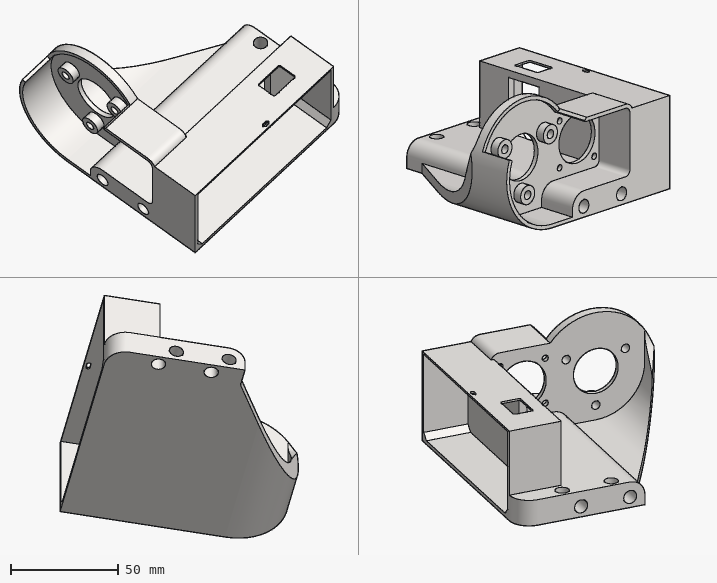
import cadquery as cq
import math

length_x = 108.8
depth_y = 108.0
drum_radius = 30.0
right_x = length_x - drum_radius
bottom_z = -drum_radius

wall = 2.0
plate_front_y = 17.5
plate_face_y = 20.1
plate_back_y = 22.5
tray_radius = drum_radius - wall
tray_right_x = 52.2
tray_half_height = 16.9
tray_corner_radius = 3.0
cover_top_z = tray_half_height + wall
rim_open_start = math.degrees(math.asin(cover_top_z / drum_radius))
rim_open_end = 160.0

foot_left_x = 13.8
foot_top_z = -tray_half_height
shoulder_radius = 7.8
foot_corner_radius = 10.0

cradle_radius = 25.0
gusset_fillet_radius = 15.0
gusset_fillet_top_z = 15.4
gusset_end_z = -6.5
gusset_angle = math.radians(30)

box_left_x = tray_right_x
box_depth = depth_y - foot_corner_radius
box_top_z = 16.0
box_side_wall = 3.9
box_roof = 1.0
box_floor_z = bottom_z + wall
box_chamfer = 3.0

side_window_y = (59.4, 79.3)
side_window_top_z = 12.3
roof_window_x = (59.1, 69.2)
roof_window_y = (66.9, 82.0)
roof_window_radius = 0.9
roof_slot_center = (76.5, 52.5)
roof_slot_length = 3.8
roof_slot_width = 1.8

drum_bore_diameter = 22.8
motor_bore_x = 37.4
motor_bore_diameter = 24.0
motor_screw_spacing = 23.1
motor_screw_diameter = 3.0
boss_circle_radius = 17.5
boss_angles = (30, 150, 270)
boss_diameter = 9.4
boss_hole_diameter = 4.2
boss_tip_y = 15.7

mount_hole_diameter = 6.6
mount_hole_spacing = 25.1
long_hole_x = 21.4
long_hole_z = -24.6
upright_hole_x = 28.9
upright_hole_y = 103.2


def block(x_range, y_range, z_range):
    """Box between the given limits."""
    sizes = [high - low for low, high in (x_range, y_range, z_range)]
    corner = (x_range[0], y_range[0], z_range[0])
    return cq.Workplane("XY").box(*sizes, centered=False).translate(corner)


def front_plane(y):
    """XZ sketch plane at the given Y; positive extrusion runs toward -Y."""
    return cq.Workplane("XZ", origin=(0, y, 0))


def cylinders_y(points, diameter, y_start, y_end):
    """Cylinders along Y at the given (x, z) points."""
    return front_plane(y_end).pushPoints(points).circle(diameter / 2).extrude(y_end - y_start)


def drum(radius, y_start, y_end):
    return cylinders_y([(0, 0)], 2 * radius, y_start, y_end)


def foot():
    """Solid foot block over the full depth, with one rounded shoulder and one rounded rear corner."""
    body = block((foot_left_x, right_x), (0, depth_y), (bottom_z, foot_top_z))
    body = body.edges("|Y and <X and >Z").fillet(shoulder_radius)
    return body.edges("|Z and >X and >Y").fillet(foot_corner_radius)


def front_body():
    """Drum, cover and lower skirt as far back as the motor plate, before hollowing."""
    depth = (0, plate_back_y)
    cover = block((0, tray_right_x + wall), depth, (0, cover_top_z))
    cover = cover.edges("|Y and >X and >Z").fillet(tray_corner_radius + wall)
    skirt = block((0, tray_right_x), depth, (bottom_z, 0))
    return drum(drum_radius, *depth).union(cover).union(skirt)


def front_tray():
    """Hollow in front of the motor plate, leaving the foot block standing."""
    depth = (0, plate_face_y)
    bay = block((0, tray_right_x), depth, (-tray_half_height, tray_half_height))
    bay = bay.edges("|Y and >X").fillet(tray_corner_radius)
    trough = block((0, foot_left_x + shoulder_radius), depth, (-tray_radius, 0))
    left_side = drum(tray_radius, *depth).union(trough).cut(foot())
    return left_side.union(bay)


def rim_opening():
    """Sector that removes the upper drum rim in front of the motor plate."""
    reach = 2 * drum_radius
    middle = (rim_open_start + rim_open_end) / 2
    corners = [
        (reach * math.cos(math.radians(angle)), reach * math.sin(math.radians(angle)))
        for angle in (rim_open_start, middle, rim_open_end)
    ]
    return front_plane(plate_front_y).polyline([(0, 0)] + corners).close().extrude(plate_front_y)


def gusset_clearance():
    """Space above the sloping, filleted top edge of the cradle wall."""
    run = gusset_fillet_radius * (1 - math.cos(gusset_angle))
    drop = gusset_fillet_radius * math.sin(gusset_angle)
    half_run = gusset_fillet_radius * (1 - math.cos(gusset_angle / 2))
    half_drop = gusset_fillet_radius * math.sin(gusset_angle / 2)
    slope_y = plate_back_y + run
    slope_z = gusset_fillet_top_z - drop
    end_y = slope_y + (slope_z - gusset_end_z) * math.tan(gusset_angle)
    return (
        cq.Workplane("YZ", origin=(-drum_radius, 0, 0))
        .moveTo(plate_back_y, drum_radius)
        .lineTo(plate_back_y, gusset_fillet_top_z)
        .threePointArc(
            (plate_back_y + half_run, gusset_fillet_top_z - half_drop), (slope_y, slope_z)
        )
        .lineTo(end_y, gusset_end_z)
        .lineTo(depth_y, gusset_end_z)
        .lineTo(depth_y, drum_radius)
        .close()
        .extrude(2 * drum_radius)
    )


def cradle():
    """Rear wall, straight inside above the drum axis, and floor; trimmed along the slanting plane."""
    depth = (plate_back_y, box_depth)
    floor = block((0, foot_left_x), depth, (bottom_z, -cradle_radius))
    straight_side = block((-cradle_radius, 0), depth, (0, drum_radius))
    shell = drum(drum_radius, *depth).cut(drum(cradle_radius, *depth)).cut(straight_side)
    shell = shell.intersect(block((-drum_radius, 0), depth, (-drum_radius, drum_radius)))
    outline = [
        (-drum_radius, plate_back_y),
        (foot_left_x, plate_back_y),
        (foot_left_x, box_depth),
    ]
    trimmed_plan = (
        cq.Workplane("XY", origin=(0, 0, bottom_z)).polyline(outline).close().extrude(2 * drum_radius)
    )
    return shell.union(floor).intersect(trimmed_plan).cut(gusset_clearance())


def box_body():
    return block((box_left_x, right_x), (0, box_depth), (bottom_z, box_top_z))


def box_cavity():
    """Box interior, open on the +X side, with chamfered lower corners."""
    cavity = block(
        (box_left_x + box_side_wall, right_x),
        (wall, box_depth - wall),
        (box_floor_z, box_top_z - box_roof),
    )
    return cavity.edges("|X and <Z").chamfer(box_chamfer)


def box_openings():
    """Side window, roof window and small roof slot."""
    side = block(
        (box_left_x, box_left_x + box_side_wall), side_window_y, (foot_top_z, side_window_top_z)
    )
    roof_z = (box_top_z - box_roof, box_top_z)
    window = block(roof_window_x, roof_window_y, roof_z).edges("|Z").fillet(roof_window_radius)
    slot = (
        cq.Workplane("XY", origin=(*roof_slot_center, roof_z[0]))
        .slot2D(roof_slot_length, roof_slot_width, 90)
        .extrude(box_roof)
    )
    return side.union(window).union(slot)


boss_points = [
    (
        boss_circle_radius * math.cos(math.radians(angle)),
        boss_circle_radius * math.sin(math.radians(angle)),
    )
    for angle in boss_angles
]
half_spacing = motor_screw_spacing / 2
motor_screw_points = [
    (motor_bore_x + side * half_spacing, level * half_spacing)
    for side in (-1, 1)
    for level in (-1, 1)
]


def plate_holes():
    """Bores and screw holes through the motor plate and its bosses."""
    span = (boss_tip_y, plate_back_y)
    holes = cylinders_y([(0, 0)], drum_bore_diameter, *span)
    holes = holes.union(cylinders_y([(motor_bore_x, 0)], motor_bore_diameter, *span))
    holes = holes.union(cylinders_y(motor_screw_points, motor_screw_diameter, *span))
    return holes.union(cylinders_y(boss_points, boss_hole_diameter, *span))


def mounting_holes():
    """Two long holes along Y and two upright holes at the rear of the foot."""
    long_points = [(long_hole_x + step * mount_hole_spacing, long_hole_z) for step in (0, 1)]
    upright_points = [
        (upright_hole_x + step * mount_hole_spacing, upright_hole_y) for step in (0, 1)
    ]
    upright = (
        cq.Workplane("XY", origin=(0, 0, bottom_z))
        .pushPoints(upright_points)
        .circle(mount_hole_diameter / 2)
        .extrude(foot_top_z - bottom_z)
    )
    return cylinders_y(long_points, mount_hole_diameter, 0, depth_y).union(upright)


result = front_body().union(foot()).union(box_body()).union(cradle())
result = result.cut(front_tray()).cut(rim_opening())
result = result.union(cylinders_y(boss_points, boss_diameter, boss_tip_y, plate_face_y))
result = result.cut(box_cavity()).cut(box_openings())
result = result.cut(plate_holes()).cut(mounting_holes())